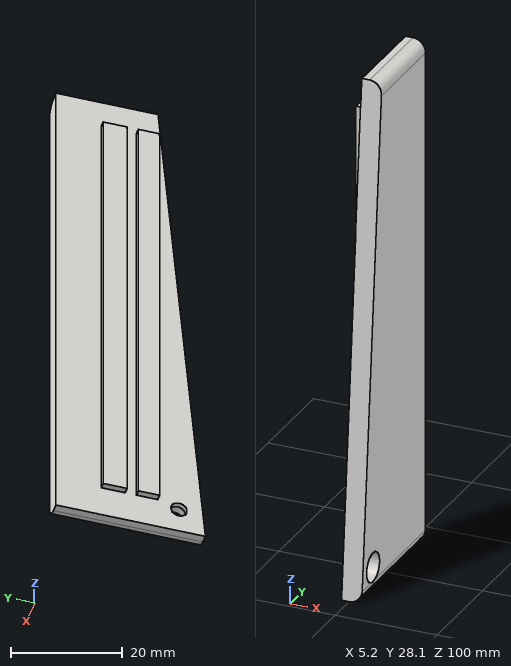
import cadquery as cq

height = 100.0
bottom_width = 28.1
top_width = 19.2
plate_thickness = 4.0
end_radius = 2.5

strip_height = 1.2
strip_bottom = 6.5
strip_top = 94.2
strip_spans = [(8.5, 13.0), (15.1, 19.1)]

hole_diameter = 3.0
counterbore_diameter = 5.7
counterbore_depth = 3.0
hole_from_back = 23.1
hole_z = 5.2


def make_plate():
    """Tapered plate with both ends rounded over on the +X face."""
    plate = (
        cq.Workplane("YZ")
        .polyline([(0, 0), (-bottom_width, 0), (-top_width, height), (0, height)])
        .close()
        .extrude(plate_thickness)
    )
    return plate.faces(">X").edges("<Z or >Z").fillet(end_radius)


def make_strip(near, far):
    """Raised strip between two distances from the back edge."""
    return cq.Workplane("XY").box(
        strip_height, far - near, strip_top - strip_bottom, centered=False
    ).translate((-strip_height, -far, strip_bottom))


def make_hole_cutter():
    """Stepped cutter for the counterbored through hole."""
    axis_plane = cq.Workplane("YZ").center(-hole_from_back, hole_z)
    bore = axis_plane.circle(hole_diameter / 2).extrude(plate_thickness)
    counterbore = (
        axis_plane.workplane(offset=plate_thickness - counterbore_depth)
        .circle(counterbore_diameter / 2)
        .extrude(counterbore_depth)
    )
    return bore.union(counterbore)


result = make_plate()
for near_side, far_side in strip_spans:
    result = result.union(make_strip(near_side, far_side))
result = result.cut(make_hole_cutter())